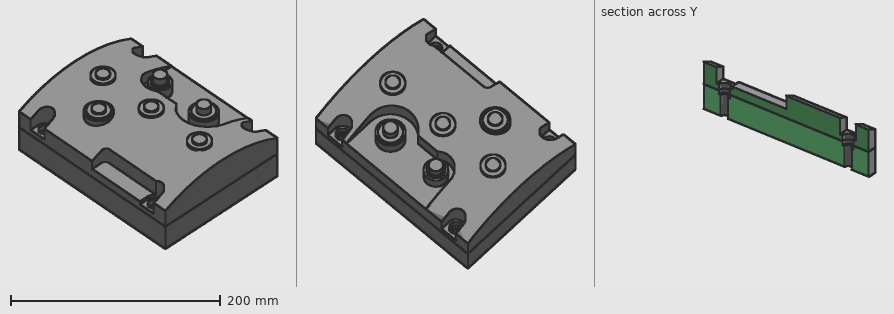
import cadquery as cq

LENGTH = 200.0
WIDTH = 150.0
SPLIT_Z = 28.5
SHOULDER_Z = 48.8
CROWN_Z = 66.5
TOP_Z = 70.0

SCREW_X = 74.8
SCREW_Y = 64.8
SLOT_WIDTH = 18.5
SLOT_FLOOR_Z = 35.2
SCREW_HEAD_DIAMETER = 13.0
SCREW_HEAD_FLOOR_Z = 24.0
SCREW_HOLE_DIAMETER = 8.5

POCKET_DEPTH = 17.5
POCKET_FLOOR_Z = 38.8
POCKET_CORNER_RADIUS = 5.0

ROW_Y = 4.0
ROW_PITCH = 66.0
ROW_OFFSET = 38.0
FRONT_X = -ROW_PITCH / 2
FRONT_Y = ROW_Y - ROW_OFFSET
REAR_LEFT_X = -26.8
REAR_RIGHT_X = ROW_PITCH / 2
REAR_Y = ROW_Y + ROW_OFFSET
FLANGE_DIAMETER = 24.2
COLLAR_DIAMETER = 18.0
PIN_DIAMETER = 14.0
PAD_DIAMETER = 29.0
SMALL_PAD_DIAMETER = 23.5
FLANGE_THICKNESS = 1.5
FLANGE_TOP_Z = 68.0
FRONT_PAD_TOP_Z = FLANGE_TOP_Z - FLANGE_THICKNESS
REAR_PAD_TOP_Z = 60.2
BUTTON_SEAT_Z = 65.5
PAD_ROOT_Z = 40.0

RECESS_FLOOR_Z = 48.5
RECESS_LEFT_RADIUS = 18.0
RECESS_RIGHT_RADIUS = 26.8
RECESS_FRONT_Y = 28.0


def disc(x, y, diameter, bottom_z, top_z):
    """Upright cylinder between two heights."""
    return cq.Workplane("XY", origin=(x, y, bottom_z)).circle(diameter / 2).extrude(top_z - bottom_z)


def block(x_min, x_max, y_min, y_max, bottom_z, top_z):
    """Box given by its limits along each axis."""
    size = (x_max - x_min, y_max - y_min, top_z - bottom_z)
    return cq.Workplane("XY", origin=(x_min, y_min, bottom_z)).box(*size, centered=False)


def screw_places():
    return [(x, y) for x in (-SCREW_X, SCREW_X) for y in (-SCREW_Y, SCREW_Y)]


def stepped_hole(x, y):
    """Screw hole through both shells with a wider bore for the head above it."""
    hole = disc(x, y, SCREW_HOLE_DIAMETER, 0, TOP_Z)
    return hole.union(disc(x, y, SCREW_HEAD_DIAMETER, SCREW_HEAD_FLOOR_Z, TOP_Z))


def screw_slot(x, y):
    """Round-ended slot that opens through the nearest long side."""
    side_y = WIDTH / 2 if y > 0 else -WIDTH / 2
    half = SLOT_WIDTH / 2
    opening = block(x - half, x + half, min(y, side_y), max(y, side_y), SLOT_FLOOR_Z, TOP_Z)
    return opening.union(disc(x, y, SLOT_WIDTH, SLOT_FLOOR_Z, TOP_Z))


def front_pocket():
    front_y = -WIDTH / 2
    pocket = block(0, SCREW_X, front_y, front_y + POCKET_DEPTH, POCKET_FLOOR_Z, TOP_Z)
    return pocket.edges("|Z and <X and >Y").fillet(POCKET_CORNER_RADIUS)


def rear_recess():
    rear_y = WIDTH / 2
    left_x = REAR_LEFT_X - RECESS_LEFT_RADIUS
    right_x = REAR_RIGHT_X + RECESS_RIGHT_RADIUS
    recess = block(left_x, right_x, REAR_Y, rear_y, RECESS_FLOOR_Z, TOP_Z)
    bridge = block(REAR_LEFT_X, REAR_RIGHT_X, RECESS_FRONT_Y, REAR_Y, RECESS_FLOOR_Z, TOP_Z)
    left_end = disc(REAR_LEFT_X, REAR_Y, 2 * RECESS_LEFT_RADIUS, RECESS_FLOOR_Z, TOP_Z)
    right_end = disc(REAR_RIGHT_X, REAR_Y, 2 * RECESS_RIGHT_RADIUS, RECESS_FLOOR_Z, TOP_Z)
    return recess.union(bridge).union(left_end).union(right_end)


def raised_control(x, y, pad_diameter, flange_diameter, pad_top_z):
    """Pad rising out of the cover, with a thin flange and a pin on top."""
    pad = disc(x, y, pad_diameter, PAD_ROOT_Z, pad_top_z)
    flange = disc(x, y, flange_diameter, pad_top_z, pad_top_z + FLANGE_THICKNESS)
    pin = disc(x, y, PIN_DIAMETER, pad_top_z, TOP_Z)
    return pad.union(flange).union(pin)


def make_base():
    base = block(-LENGTH / 2, LENGTH / 2, -WIDTH / 2, WIDTH / 2, 0, SPLIT_Z)
    for x, y in screw_places():
        base = base.cut(stepped_hole(x, y))
    return base


def make_cover():
    half_width = WIDTH / 2
    cover = (
        cq.Workplane("YZ", origin=(-LENGTH / 2, 0, 0))
        .moveTo(-half_width, SPLIT_Z)
        .lineTo(half_width, SPLIT_Z)
        .lineTo(half_width, SHOULDER_Z)
        .threePointArc((0, CROWN_Z), (-half_width, SHOULDER_Z))
        .close()
        .extrude(LENGTH)
    )
    for x, y in screw_places():
        cover = cover.cut(screw_slot(x, y)).cut(stepped_hole(x, y))
    cover = cover.cut(front_pocket()).cut(rear_recess())

    front = raised_control(FRONT_X, FRONT_Y, PAD_DIAMETER, FLANGE_DIAMETER, FRONT_PAD_TOP_Z)
    rear_right = raised_control(REAR_RIGHT_X, REAR_Y, PAD_DIAMETER, FLANGE_DIAMETER, REAR_PAD_TOP_Z)
    rear_left = raised_control(REAR_LEFT_X, REAR_Y, SMALL_PAD_DIAMETER, COLLAR_DIAMETER, REAR_PAD_TOP_Z)
    cover = cover.union(front).union(rear_right).union(rear_left)

    for x in button_places():
        cover = cover.cut(disc(x, ROW_Y, FLANGE_DIAMETER, BUTTON_SEAT_Z, TOP_Z))
    return cover


def button_places():
    return [column * ROW_PITCH for column in (-1, 0, 1)]


def make_button(x):
    """Flange seated in the crowned top, with a pin on it."""
    flange = disc(x, ROW_Y, FLANGE_DIAMETER, BUTTON_SEAT_Z, FLANGE_TOP_Z)
    return flange.union(disc(x, ROW_Y, PIN_DIAMETER, FLANGE_TOP_Z, TOP_Z))


base = make_base()
cover = make_cover()
buttons = [make_button(x) for x in button_places()]

result = cq.Compound.makeCompound([base.val(), cover.val(), *[button.val() for button in buttons]])